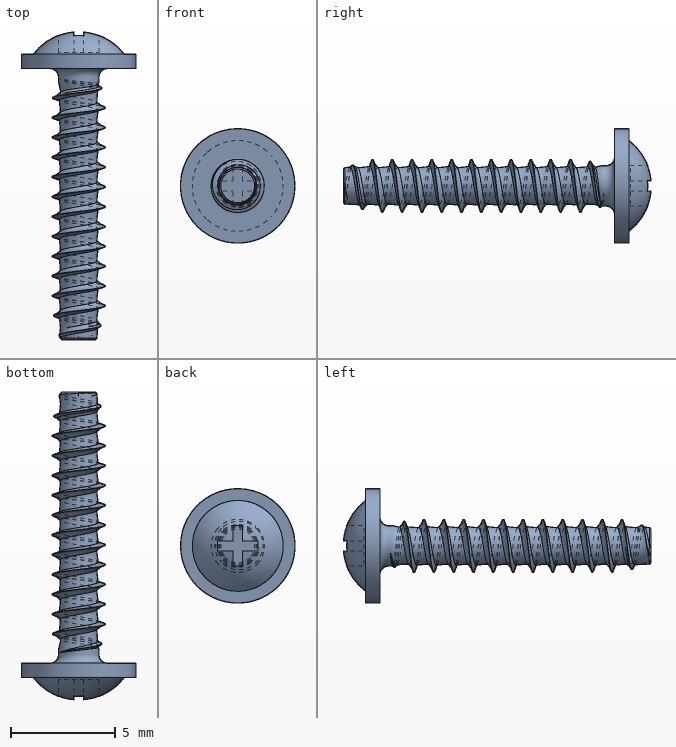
import cadquery as cq
import math


WASHER_RADIUS = 2.75
WASHER_THICKNESS = 0.7
WASHER_EDGE_FILLET = 0.04
WASHER_MID_PLANE = WASHER_THICKNESS / 2
DOME_BASE_RADIUS = 2.18
DOME_HEIGHT = 1.08
DOME_APEX = WASHER_THICKNESS + DOME_HEIGHT

RECESS_WIDTH = 0.47
RECESS_SPAN = 1.95
RECESS_DEPTH = 1.0

SHANK_LENGTH = 13.0
NECK_RADIUS = 0.975
NECK_FILLET = 0.4
NECK_LENGTH = 0.62
CORE_RADIUS = 0.885
CORE_START = 1.03
TIP_RADIUS = 0.86
TIP_TAPER_LENGTH = 0.25
TIP_CHAMFER = 0.05
TRIM_REACH = 0.2
OVERLENGTH = 1.0

PITCH = 0.95
CREST_RADIUS = 1.275
BASE_RADIUS = 0.88
CREST_WIDTH = 0.02
HEAD_FLANK_BEND = (-0.095, 1.07)
HEAD_FLANK_ROOT = (-0.25, BASE_RADIUS)
TIP_FLANK_ROOT = (0.12, 0.935)
VALLEY_END = (0.6, BASE_RADIUS)
BURIED_RADIUS = 0.75
FIRST_CREST_DEPTH = 0.92
THREAD_START_TURN = -0.75
FULL_HEIGHT_TURN = 0.55
FIRST_SEAM_TURN = 1.25
FULL_TURNS = 10
RUN_OUT_TURN = FIRST_SEAM_TURN + FULL_TURNS
RUN_OUT_TURNS = 1.5
THREAD_END_TURN = RUN_OUT_TURN + RUN_OUT_TURNS
POINTS_PER_TURN = 12


def revolved(profile):
    return profile.close().revolve(360, (0, 0, 0), (0, 1, 0))


def make_washer():
    washer = cq.Workplane("XZ").circle(WASHER_RADIUS).extrude(-WASHER_THICKNESS)
    return washer.edges().fillet(WASHER_EDGE_FILLET)


def make_dome():
    sphere_radius = (DOME_BASE_RADIUS**2 + DOME_HEIGHT**2) / (2 * DOME_HEIGHT)
    center = DOME_APEX - sphere_radius
    half_angle = math.asin(DOME_BASE_RADIUS / sphere_radius) / 2
    arc_middle = (sphere_radius * math.sin(half_angle), center + sphere_radius * math.cos(half_angle))
    profile = (
        cq.Workplane("XY")
        .moveTo(0, WASHER_MID_PLANE)
        .lineTo(DOME_BASE_RADIUS, WASHER_MID_PLANE)
        .lineTo(DOME_BASE_RADIUS, WASHER_THICKNESS)
        .threePointArc(arc_middle, (0, DOME_APEX))
    )
    return revolved(profile)


def make_recess():
    floor = cq.Workplane("XZ", origin=(0, DOME_APEX - RECESS_DEPTH, 0))
    wing_x = floor.rect(RECESS_SPAN, RECESS_WIDTH).extrude(-RECESS_DEPTH)
    wing_z = floor.rect(RECESS_WIDTH, RECESS_SPAN).extrude(-RECESS_DEPTH)
    return wing_x.union(wing_z)


def make_overlong_shank():
    """Neck and core, running past the tip so that shank and thread are trimmed together."""
    taper_slope = (CORE_RADIUS - TIP_RADIUS) / TIP_TAPER_LENGTH
    overlong_radius = TIP_RADIUS - taper_slope * OVERLENGTH
    fillet_outer = NECK_RADIUS + NECK_FILLET
    fillet_reach = NECK_FILLET * math.sin(math.pi / 4)
    fillet_middle = (fillet_outer - fillet_reach, -NECK_FILLET + fillet_reach)
    profile = (
        cq.Workplane("XY")
        .moveTo(0, WASHER_MID_PLANE)
        .lineTo(fillet_outer, WASHER_MID_PLANE)
        .lineTo(fillet_outer, 0)
        .threePointArc(fillet_middle, (NECK_RADIUS, -NECK_FILLET))
        .lineTo(NECK_RADIUS, -NECK_LENGTH)
        .lineTo(CORE_RADIUS, -CORE_START)
        .lineTo(CORE_RADIUS, TIP_TAPER_LENGTH - SHANK_LENGTH)
        .lineTo(overlong_radius, -SHANK_LENGTH - OVERLENGTH)
        .lineTo(0, -SHANK_LENGTH - OVERLENGTH)
    )
    return revolved(profile)


def thread_height(turn):
    """Height of the thread section at a given turn, as a share of its full height."""
    run_in = (turn - THREAD_START_TURN) / (FULL_HEIGHT_TURN - THREAD_START_TURN)
    run_out = (THREAD_END_TURN - turn) / RUN_OUT_TURNS
    return max(0, min(1, run_in, run_out))


def thread_edge(offset, radius, start_turn, end_turn):
    """Helix followed by one corner of the thread section, turning from +X to +Z along -Y."""
    steps = round((end_turn - start_turn) * POINTS_PER_TURN)
    turn_step = (end_turn - start_turn) / steps
    turns = [start_turn + step * turn_step for step in range(steps + 1)]
    points = []
    for turn in turns:
        angle = 2 * math.pi * turn
        reach = radius
        if radius > BASE_RADIUS:
            reach = BASE_RADIUS + (radius - BASE_RADIUS) * thread_height(turn)
        depth = FIRST_CREST_DEPTH + PITCH * turn + offset
        points.append(cq.Vector(reach * math.cos(angle), -depth, reach * math.sin(angle)))
    return cq.Edge.makeSpline(points, parameters=turns)


def make_thread_piece(start_turn, end_turn):
    """Solid bounded by ruled faces between neighbouring corner helices and two flat end caps."""
    section = [
        (HEAD_FLANK_ROOT[0], BURIED_RADIUS),
        HEAD_FLANK_ROOT,
        HEAD_FLANK_BEND,
        (-CREST_WIDTH / 2, CREST_RADIUS),
        (CREST_WIDTH / 2, CREST_RADIUS),
        TIP_FLANK_ROOT,
        VALLEY_END,
        (VALLEY_END[0], BURIED_RADIUS),
    ]
    edges = [thread_edge(offset, radius, start_turn, end_turn) for offset, radius in section]
    next_edges = edges[1:] + edges[:1]
    faces = [cq.Face.makeRuledSurface(a, b) for a, b in zip(edges, next_edges)]
    for cap_corners in (
        [edge.startPoint() for edge in edges],
        [edge.endPoint() for edge in edges],
    ):
        faces.append(cq.Face.makeFromWires(cq.Wire.makePolygon(cap_corners, close=True)))
    body = cq.Solid.makeSolid(cq.Shell.makeShell(faces))
    return cq.Workplane(body)


def make_thread_pieces():
    seams = [FIRST_SEAM_TURN + turn for turn in range(FULL_TURNS + 1)]
    breaks = [THREAD_START_TURN, FULL_HEIGHT_TURN, *seams, THREAD_END_TURN]
    return [make_thread_piece(start, end).val() for start, end in zip(breaks, breaks[1:])]


def make_tip_trim():
    """Everything beyond the flat end face and outside the 45-degree chamfer around it."""
    face_radius = TIP_RADIUS - TIP_CHAMFER
    rim_radius = face_radius + TRIM_REACH
    trim_end = -SHANK_LENGTH - 2 * OVERLENGTH
    profile = (
        cq.Workplane("XY")
        .moveTo(0, -SHANK_LENGTH)
        .lineTo(face_radius, -SHANK_LENGTH)
        .lineTo(rim_radius, TRIM_REACH - SHANK_LENGTH)
        .lineTo(rim_radius, trim_end)
        .lineTo(0, trim_end)
    )
    return revolved(profile).val()


head = make_washer().union(make_dome()).cut(make_recess())
blank = head.union(make_overlong_shank())
threaded = blank.val().fuse(*make_thread_pieces())
result = cq.Workplane(threaded.cut(make_tip_trim()).Solids()[0])